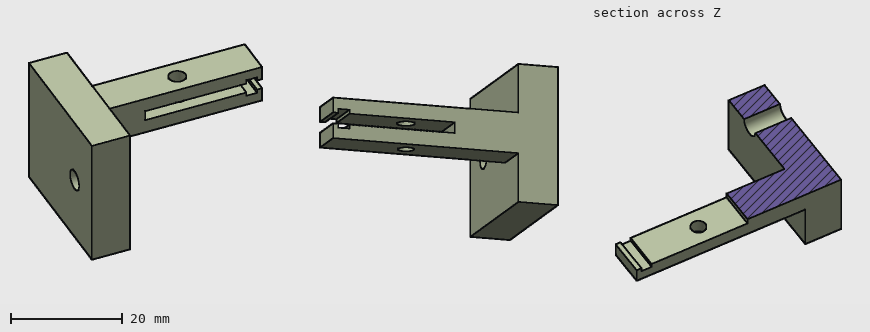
import cadquery as cq

PLATE_WIDTH = 27.25
PLATE_THICKNESS = 7.5
PLATE_HEIGHT = 25.5
MID_HEIGHT = PLATE_HEIGHT / 2

ARM_SIDE = 7.5
ARM_LENGTH = 35.0
ARM_TIP_Y = PLATE_THICKNESS + ARM_LENGTH

SLOT_LENGTH = 23.0
SLOT_HEIGHT = 2.0

LIP_LENGTH = 1.0
GROOVE_LENGTH = 2.1
GROOVE_HEIGHT = 3.45

PLATE_HOLE_DIAMETER = 3.9
PLATE_HOLE_X = 19.75

CLEARANCE_DIAMETER = 3.25
TAPPING_DIAMETER = 2.9
SCREW_TIP_DISTANCE = 15.0


def make_plate():
    """Rectangular plate with its lower corner at the origin."""
    return cq.Workplane("XY").box(PLATE_WIDTH, PLATE_THICKNESS, PLATE_HEIGHT, centered=False)


def make_arm_block(start_y, length, height):
    """Block across the full arm width, centred on the mid height of the plate."""
    block = cq.Workplane("XY").box(ARM_SIDE, length, height, centered=(False, False, True))
    return block.translate((0, start_y, MID_HEIGHT))


def make_plate_hole():
    """Cylinder running along Y through the plate."""
    return cq.Workplane("XZ", origin=(PLATE_HOLE_X, 0, MID_HEIGHT)).circle(
        PLATE_HOLE_DIAMETER / 2
    ).extrude(-PLATE_THICKNESS)


def make_screw_hole(start_z, diameter):
    """Vertical cylinder through one jaw, starting at the given height."""
    center = (ARM_SIDE / 2, ARM_TIP_Y - SCREW_TIP_DISTANCE, start_z)
    return cq.Workplane("XY", origin=center).circle(diameter / 2).extrude(ARM_SIDE / 2)


arm = make_arm_block(PLATE_THICKNESS, ARM_LENGTH, ARM_SIDE)
slot = make_arm_block(ARM_TIP_Y - SLOT_LENGTH, SLOT_LENGTH, SLOT_HEIGHT)
groove = make_arm_block(ARM_TIP_Y - LIP_LENGTH - GROOVE_LENGTH, GROOVE_LENGTH, GROOVE_HEIGHT)

result = make_plate().union(arm).cut(slot).cut(groove)
result = result.cut(make_plate_hole())
result = result.cut(make_screw_hole(MID_HEIGHT, CLEARANCE_DIAMETER))
result = result.cut(make_screw_hole(MID_HEIGHT - ARM_SIDE / 2, TAPPING_DIAMETER))